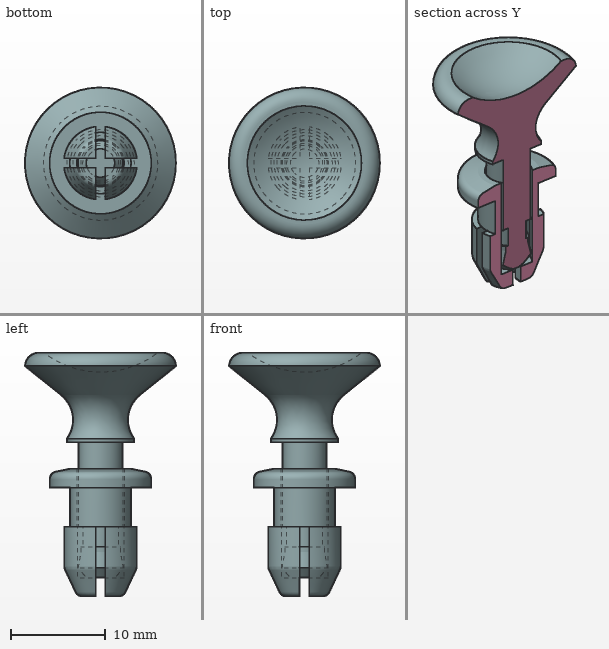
import cadquery as cq
import math


overall_height = 25.8

flange_radius = 5.38
flange_height = 2.0
flange_edge_height = 0.88
flange_shoulder_radius = 4.77
flange_shoulder_height = 1.68
flange_flat_radius = 3.25

neck_radius = 3.24
barb_radius = 3.88
barb_top = -4.12
barb_taper_start = -8.5
barb_taper_angle = 25.0
barb_shoulder_fillet = 0.75
barb_nose_fillet = 0.8
grommet_bottom = -11.52
bore_radius = 2.5
slot_width = 1.0
slot_length = 3 * barb_radius

shaft_radius = 2.35
waist_top = barb_top
waist_bottom = -6.26
waist_radius = 1.9
land_bottom = -6.82
land_radius = 2.1
flare_bottom = -8.48
flare_radius = 2.4
tip_bottom = -9.54
tip_radius = 1.5

collar_bottom = 4.77
collar_top = 5.18
collar_radius = 3.56
stem_top = 9.81
stem_top_radius = 4.19

head_radius = 8.0
head_edge_height = 12.87
head_top = grommet_bottom + overall_height
rim_flat_radius = 6.5
dish_radius = 6.04
dish_depth = 2.05

AXIS_START = (0, 0)
AXIS_END = (0, 1)


def make_grommet_blank():
    """Solid of revolution: domed flange, neck and tapered barb with rounded corners."""
    taper_height = barb_taper_start - grommet_bottom
    nose_radius = barb_radius - taper_height * math.tan(math.radians(barb_taper_angle))
    blank = (
        cq.Workplane("XZ")
        .moveTo(0, grommet_bottom)
        .lineTo(nose_radius, grommet_bottom)
        .lineTo(barb_radius, barb_taper_start)
        .lineTo(barb_radius, barb_top)
        .lineTo(neck_radius, barb_top)
        .lineTo(neck_radius, 0)
        .lineTo(flange_radius, 0)
        .lineTo(flange_radius, flange_edge_height)
        .tangentArcPoint((flange_shoulder_radius, flange_shoulder_height), relative=False)
        .lineTo(flange_flat_radius, flange_height)
        .lineTo(0, flange_height)
        .close()
        .revolve(360, AXIS_START, AXIS_END)
    )
    blank = blank.faces("<Z").edges().fillet(barb_nose_fillet)
    near_shoulder = cq.selectors.NearestToPointSelector((0, 0, barb_taper_start))
    shoulder_edge = blank.edges("%CIRCLE").edges(near_shoulder)
    return shoulder_edge.fillet(barb_shoulder_fillet)


def make_bore():
    """Blind bore from the flange top down to the level of the plunger tip."""
    return (
        cq.Workplane("XY")
        .workplane(offset=tip_bottom)
        .circle(bore_radius)
        .extrude(flange_height - tip_bottom)
    )


def make_slot(angle):
    """Slot through the full width of the barb, turned by angle about Z."""
    return (
        cq.Workplane("XY")
        .workplane(offset=grommet_bottom)
        .transformed(rotate=(0, 0, angle))
        .rect(slot_length, slot_width)
        .extrude(barb_top - grommet_bottom)
    )


def make_grommet():
    """Flanged sleeve whose barb is parted into four prongs by two crossing slots."""
    body = make_grommet_blank().cut(make_bore())
    for angle in (0, 90):
        body = body.cut(make_slot(angle))
    return body


def make_plunger():
    """Dished head on a concave stem, with a collar, shaft, waist and flared tip."""
    dish_bottom = head_top - dish_depth
    dish_sphere_radius = (dish_radius**2 + dish_depth**2) / (2 * dish_depth)
    dish_middle_radius = dish_radius / 2
    dish_middle_height = (
        dish_bottom + dish_sphere_radius - math.sqrt(dish_sphere_radius**2 - dish_middle_radius**2)
    )
    return (
        cq.Workplane("XZ")
        .moveTo(0, dish_bottom)
        .threePointArc((dish_middle_radius, dish_middle_height), (dish_radius, head_top))
        .lineTo(rim_flat_radius, head_top)
        .tangentArcPoint((head_radius, head_edge_height), relative=False)
        .lineTo(stem_top_radius, stem_top)
        .tangentArcPoint((collar_radius, collar_top), relative=False)
        .lineTo(collar_radius, collar_bottom)
        .lineTo(shaft_radius, collar_bottom)
        .lineTo(shaft_radius, waist_top)
        .lineTo(waist_radius, waist_top)
        .lineTo(waist_radius, waist_bottom)
        .lineTo(land_radius, waist_bottom)
        .lineTo(land_radius, land_bottom)
        .lineTo(flare_radius, flare_bottom)
        .lineTo(tip_radius, tip_bottom)
        .lineTo(0, tip_bottom)
        .close()
        .revolve(360, AXIS_START, AXIS_END)
    )


grommet = make_grommet()
plunger = make_plunger()

result = cq.Compound.makeCompound([grommet.solids().val(), plunger.solids().val()])